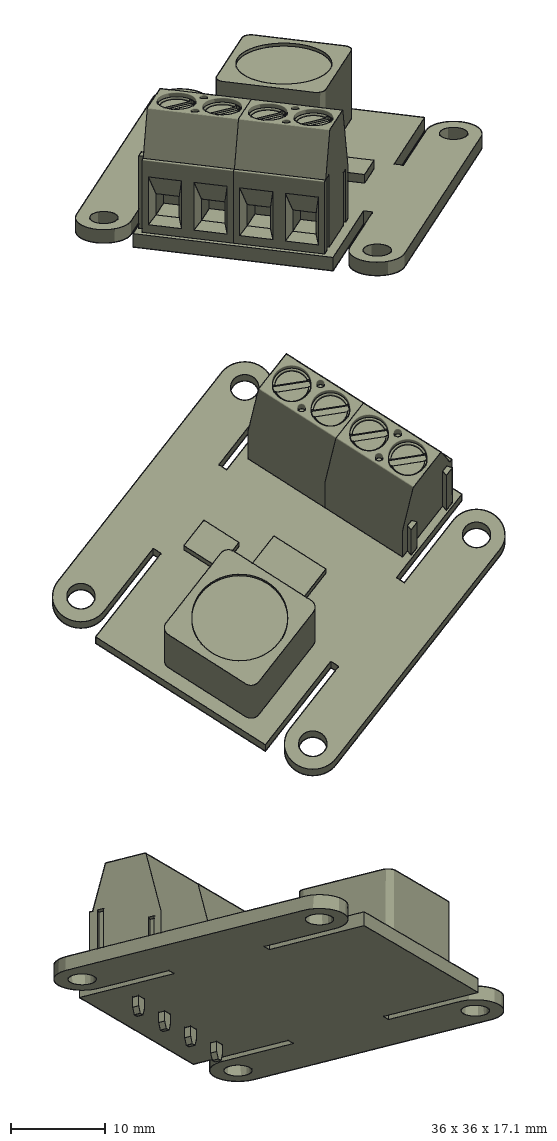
import cadquery as cq

BOARD_SIZE = 36.0
BOARD_THICKNESS = 1.6
ARM_WIDTH = 6.0
SLOT_WIDTH = 1.0
WEB_LENGTH = 12.02
MOUNTING_HOLE_DIAMETER = 3.0

INDUCTOR_SIZE = 12.0
INDUCTOR_HEIGHT = 8.0
INDUCTOR_CORNER_RADIUS = 1.0
INDUCTOR_CENTER = (-2.38, 10.5)
INDUCTOR_RECESS_DIAMETER = 10.15
INDUCTOR_RECESS_DEPTH = 0.35

CHIP_HEIGHT = 1.0
CHIPS = [
    ((-1.22, 0.8), (6.75, 5.85)),
    ((7.0, 2.45), (4.55, 3.67)),
]

BLOCK_COUNT = 2
POLE_COUNT = 2
POLE_PITCH = 5.0
BLOCK_WIDTH = POLE_COUNT * POLE_PITCH
BLOCK_HEIGHT = 13.6
BLOCKS_START_X = -10.1
FRONT_Y = -17.42
REAR_Y = -8.35
LEDGE_WIDTH = 0.4
LEDGE_HEIGHT = 8.45
REAR_SLOPE_HEIGHT = 6.4
TOP_FRONT_Y = -15.4
TOP_REAR_Y = -10.3
HOUSING_FILLET = 0.18
LEDGE_FILLET = 0.1
HOLE_FILLET = 0.1
SCREW_Y = (TOP_FRONT_Y + TOP_REAR_Y) / 2

RIB_DEPTH = 0.6
RIB_TIP_WIDTH = 1.1
RIB_ROOT_WIDTH = 0.75
RIBS = [(-9.6, 6.15), (-16.05, LEDGE_HEIGHT)]

SCREW_HOLE_DIAMETER = 4.1
SCREW_HOLE_DEPTH = 0.5
SCREW_DIAMETER = 4.0
DISH_DIAMETER = 3.6
DISH_DEPTH = 0.18
DRIVE_SLOT_WIDTH = 0.8
DRIVE_SLOT_DEPTH = 0.2
DRIVE_SLOT_ANGLE = 45
SMALL_HOLE_DIAMETER = 0.8
SMALL_HOLE_DEPTH = 1.0
SMALL_HOLE_OFFSET = 1.73

ENTRY_WIDTH = 3.65
ENTRY_BOTTOM = 0.97
ENTRY_TOP = 6.55
PASSAGE_WIDTH = 2.55
PASSAGE_BOTTOM = 1.73
PASSAGE_TOP = 4.2
FUNNEL_DEPTH = 1.0
PASSAGE_DEPTH = 3.02

PIN_WIDTH = 1.1
PIN_THICKNESS = 0.75
PIN_TIP_WIDTH = 0.5
PIN_LENGTH = 1.9
PIN_TIP_LENGTH = 0.75


def pole_x(pole):
    """X of a pole's centre, from the -X face of its block."""
    return (pole + 0.5) * POLE_PITCH


def block_x(index):
    """X of the -X face of a block."""
    return BLOCKS_START_X + index * BLOCK_WIDTH


def box_on_board(center, size, height):
    return (
        cq.Workplane("XY", origin=(*center, BOARD_THICKNESS))
        .rect(*size)
        .extrude(height)
    )


def make_inductor():
    return (
        box_on_board(INDUCTOR_CENTER, (INDUCTOR_SIZE, INDUCTOR_SIZE), INDUCTOR_HEIGHT)
        .edges("|Z")
        .fillet(INDUCTOR_CORNER_RADIUS)
        .faces(">Z")
        .workplane()
        .hole(INDUCTOR_RECESS_DIAMETER, INDUCTOR_RECESS_DEPTH)
    )


def make_board():
    """The board with the inductor and chips on it, and holes for the terminal pins."""
    arm_x = (BOARD_SIZE - ARM_WIDTH) / 2
    hole_spacing = BOARD_SIZE - ARM_WIDTH
    panel_width = BOARD_SIZE - 2 * (ARM_WIDTH + SLOT_WIDTH)

    board = cq.Workplane("XY").rect(panel_width, BOARD_SIZE).extrude(BOARD_THICKNESS)
    webs = cq.Workplane("XY").rect(hole_spacing, WEB_LENGTH).extrude(BOARD_THICKNESS)
    arms = (
        cq.Workplane("XY")
        .pushPoints([(-arm_x, 0), (arm_x, 0)])
        .slot2D(BOARD_SIZE, ARM_WIDTH, 90)
        .extrude(BOARD_THICKNESS)
    )
    board = board.union(webs).union(arms)

    mounting_holes = (
        cq.Workplane("XY")
        .rect(hole_spacing, hole_spacing, forConstruction=True)
        .vertices()
        .circle(MOUNTING_HOLE_DIAMETER / 2)
        .extrude(BOARD_THICKNESS)
    )
    pin_points = [
        (block_x(index) + pole_x(pole), SCREW_Y)
        for index in range(BLOCK_COUNT)
        for pole in range(POLE_COUNT)
    ]
    pin_holes = (
        cq.Workplane("XY")
        .pushPoints(pin_points)
        .rect(PIN_WIDTH, PIN_THICKNESS)
        .extrude(BOARD_THICKNESS)
    )
    board = board.cut(mounting_holes).cut(pin_holes)

    board = board.union(make_inductor())
    for center, size in CHIPS:
        board = board.union(box_on_board(center, size, CHIP_HEIGHT))
    return board


def make_housing():
    profile = [
        (FRONT_Y, 0),
        (FRONT_Y, LEDGE_HEIGHT),
        (FRONT_Y + LEDGE_WIDTH, LEDGE_HEIGHT),
        (TOP_FRONT_Y, BLOCK_HEIGHT),
        (TOP_REAR_Y, BLOCK_HEIGHT),
        (REAR_Y, REAR_SLOPE_HEIGHT),
        (REAR_Y, 0),
    ]
    housing = cq.Workplane("YZ").polyline(profile).close().extrude(BLOCK_WIDTH)
    housing = housing.faces(">Z").edges("|X").fillet(HOUSING_FILLET)
    return housing.faces("<Y").edges(">Z").fillet(LEDGE_FILLET)


def make_rib(center_y, height):
    return (
        cq.Workplane("XY")
        .moveTo(0, center_y - RIB_ROOT_WIDTH / 2)
        .lineTo(-RIB_DEPTH, center_y - RIB_TIP_WIDTH / 2)
        .lineTo(-RIB_DEPTH, center_y + RIB_TIP_WIDTH / 2)
        .lineTo(0, center_y + RIB_ROOT_WIDTH / 2)
        .close()
        .extrude(height)
    )


def make_rounded_hole(point, top_z, diameter, depth):
    """The space taken up by a round blind hole that flares out in an arc at its rim."""
    radius = diameter / 2
    rim_radius = radius + HOLE_FILLET
    hole = (
        cq.Workplane("XZ")
        .lineTo(rim_radius, 0)
        .radiusArc((radius, -HOLE_FILLET), -HOLE_FILLET)
        .lineTo(radius, -depth)
        .lineTo(0, -depth)
        .close()
        .revolve(360, (0, 0, 0), (0, 1, 0))
    )
    return hole.translate((*point, top_z))


def make_screw_recess(point):
    """The space above a screw: its hole, the dish in its head and the slot across the head."""
    rim_z = BLOCK_HEIGHT - SCREW_HOLE_DEPTH
    slot_depth = DISH_DEPTH + DRIVE_SLOT_DEPTH
    hole = make_rounded_hole(point, BLOCK_HEIGHT, SCREW_HOLE_DIAMETER, SCREW_HOLE_DEPTH)
    dish = make_rounded_hole(point, rim_z, DISH_DIAMETER, DISH_DEPTH)
    screw_head = (
        cq.Workplane("XY", origin=(*point, rim_z))
        .circle(SCREW_DIAMETER / 2)
        .extrude(-slot_depth)
    )
    drive_slot = (
        cq.Workplane("XY", origin=(*point, rim_z))
        .transformed(rotate=(0, 0, DRIVE_SLOT_ANGLE))
        .rect(2 * SCREW_DIAMETER, DRIVE_SLOT_WIDTH)
        .extrude(-slot_depth)
        .intersect(screw_head)
    )
    return hole.union(dish).union(drive_slot)


def make_wire_entry(x):
    entry_height = ENTRY_TOP - ENTRY_BOTTOM
    passage_height = PASSAGE_TOP - PASSAGE_BOTTOM
    entry_z = (ENTRY_TOP + ENTRY_BOTTOM) / 2
    passage_z = (PASSAGE_TOP + PASSAGE_BOTTOM) / 2
    funnel = (
        cq.Workplane("XZ", origin=(x, FRONT_Y, 0))
        .center(0, entry_z)
        .rect(ENTRY_WIDTH, entry_height)
        .workplane(offset=-FUNNEL_DEPTH)
        .center(0, passage_z - entry_z)
        .rect(PASSAGE_WIDTH, passage_height)
        .loft(ruled=True)
    )
    passage = (
        cq.Workplane("XZ", origin=(x, FRONT_Y + FUNNEL_DEPTH, passage_z))
        .rect(PASSAGE_WIDTH, passage_height)
        .extrude(-PASSAGE_DEPTH)
    )
    return funnel.union(passage)


def make_pin(x):
    pin_bottom = -BOARD_THICKNESS - PIN_LENGTH
    taper_z = pin_bottom + PIN_TIP_LENGTH
    return (
        cq.Workplane("XZ", origin=(x, SCREW_Y, 0))
        .moveTo(-PIN_WIDTH / 2, 0)
        .lineTo(PIN_WIDTH / 2, 0)
        .lineTo(PIN_WIDTH / 2, taper_z)
        .lineTo(PIN_TIP_WIDTH / 2, pin_bottom)
        .lineTo(-PIN_TIP_WIDTH / 2, pin_bottom)
        .lineTo(-PIN_WIDTH / 2, taper_z)
        .close()
        .extrude(PIN_THICKNESS / 2, both=True)
    )


def make_terminal_block():
    pole_centers = [pole_x(pole) for pole in range(POLE_COUNT)]
    screw_points = [(x, SCREW_Y) for x in pole_centers]
    small_hole_points = [
        (BLOCK_WIDTH / 2, SCREW_Y + side * SMALL_HOLE_OFFSET) for side in (-1, 1)
    ]

    block = make_housing()
    for center_y, height in RIBS:
        rib = make_rib(center_y, height)
        block = block.cut(rib.translate((BLOCK_WIDTH, 0, 0))).union(rib)
    for point in screw_points:
        block = block.cut(make_screw_recess(point))
    for point in small_hole_points:
        block = block.cut(make_rounded_hole(point, BLOCK_HEIGHT, SMALL_HOLE_DIAMETER, SMALL_HOLE_DEPTH))
    for x in pole_centers:
        block = block.cut(make_wire_entry(x)).union(make_pin(x))
    return block


board = make_board()
terminal_block = make_terminal_block()
terminal_blocks = [
    terminal_block.translate((block_x(index), 0, BOARD_THICKNESS)).val()
    for index in range(BLOCK_COUNT)
]

result = cq.Compound.makeCompound([board.val(), *terminal_blocks])